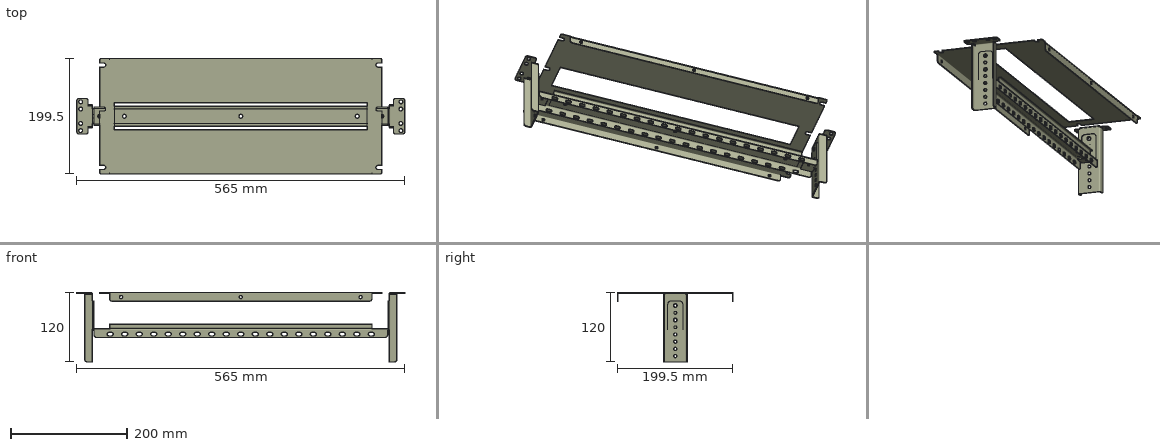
import cadquery as cq


PANEL_LENGTH = 486.0
PANEL_WIDTH = 199.5
PANEL_THICKNESS = 1.4
PANEL_CORNER_RADIUS = 3.0
PANEL_BEND_RADIUS = 2.0
WINDOW_LENGTH = 435.0
WINDOW_WIDTH = 46.5
LIP_LENGTH = 452.0
LIP_HEIGHT = 15.0
LIP_CORNER_RADIUS = 4.5
LIP_HOLE_SPACING = 206.0
LIP_HOLE_DEPTH = 8.0
LIP_HOLE_DIAMETER = 5.0
NOTCH_WIDTH = 7.0
NOTCH_DEPTH = 10.0
NOTCH_POSITIONS = (-88.0, 12.5, 88.0)

BAR_LENGTH = 506.0
BAR_WIDTH = 32.0
BAR_HEIGHT = 16.0
BAR_THICKNESS = 1.0
BAR_BEND_RADIUS = 3.0
BAR_CORNER_RADIUS = 5.5
BAR_TOP = -62.0
BAR_SLOT_COUNT = 19
BAR_SLOT_SPAN = 450.0
BAR_SLOT_LENGTH = 10.0
BAR_SLOT_HEIGHT = 5.5
BAR_SLOT_DEPTH = 9.5

RAIL_LENGTH = 452.0
RAIL_WIDTH = 35.0
RAIL_HAT_WIDTH = 27.0
RAIL_HEIGHT = 8.0
RAIL_THICKNESS = 1.0
RAIL_BEND_RADIUS = 2.0
RAIL_HOLE_SPACING = 200.5
RAIL_HOLE_DIAMETER = 6.0

ANGLE_WIDTH = 26.0
ANGLE_THICKNESS = 2.0
ANGLE_TOP = -14.5
ANGLE_CORNER_RADIUS = 5.5
ANGLE_LEG_LENGTH = 22.5
ANGLE_HOLE_DIAMETER = 7.0
FASTENING_HOLE_DIAMETER = 7.0
LEG_HOLE_DIAMETER = 3.5
FASTENING_HOLE_X = 243.0

BRACKET_END_X = 282.5
BRACKET_HEIGHT = 120.0
BRACKET_WIDTH = 41.0
BRACKET_DEPTH = 13.5
BRACKET_THICKNESS = 1.5
BRACKET_BEND_RADIUS = 3.0
BRACKET_CORNER_RADIUS = 4.5
FOOT_WIDTH = 61.5
FOOT_INNER_X = 263.0
FOOT_CORNER_RADIUS = 4.0
FOOT_HOLE_PITCH = 12.5
FOOT_HOLE_X = 276.0
FOOT_HOLE_DIAMETER = 6.0
SIDE_GAP = 3.0
HOLE_COUNT = 8
HOLE_PITCH = 12.5
FIRST_HOLE_Z = -22.5
HOLE_DIAMETER = 5.0

BAR_END_X = BAR_LENGTH / 2
WEB_INNER_X = BAR_END_X + ANGLE_THICKNESS
BRACKET_OUTER_X = WEB_INNER_X + BRACKET_DEPTH
NECK_WIDTH = BRACKET_WIDTH - 2 * BRACKET_BEND_RADIUS
ANGLE_BOTTOM = BAR_TOP - BAR_THICKNESS - ANGLE_THICKNESS


def box(x_range, y_range, z_range):
    """Axis-aligned block between the given limits."""
    (x0, x1), (y0, y1), (z0, z1) = x_range, y_range, z_range
    return cq.Workplane("XY").box(x1 - x0, y1 - y0, z1 - z0, centered=False).translate((x0, y0, z0))


def centered_on(width):
    """Limits of a span centred on zero."""
    return (-width / 2, width / 2)


def cylinder_y(x, z, diameter, length):
    """Cutter for a round hole along Y, centred on Y = 0."""
    return cq.Workplane("XZ").center(x, z).circle(diameter / 2).extrude(length / 2, both=True)


def bent_channel(length, width, height, thickness, bend_radius, corner_radius):
    """Downward-opening channel along X with its top at Z = 0, rounded bends and rounded lower corners."""
    outer = box(centered_on(length), centered_on(width), (-height, 0))
    outer = outer.edges("|Y and <Z").fillet(corner_radius)
    outer = outer.edges("|X and >Z").fillet(bend_radius)
    inner_width = width - 2 * thickness
    inner = box(centered_on(length), centered_on(inner_width), (-height, -thickness))
    inner = inner.edges("|X and >Z").fillet(bend_radius - thickness)
    return outer.cut(inner)


def make_panel():
    """Flat panel with a long window, open-ended notches and a lip folded down along each long side."""
    plate = box(centered_on(PANEL_LENGTH), centered_on(PANEL_WIDTH), (-PANEL_THICKNESS, 0))
    plate = plate.edges("|Z").fillet(PANEL_CORNER_RADIUS)
    plate = plate.cut(box(centered_on(LIP_LENGTH), centered_on(PANEL_WIDTH), (-PANEL_THICKNESS, 0)))
    folded = bent_channel(
        LIP_LENGTH, PANEL_WIDTH, LIP_HEIGHT, PANEL_THICKNESS, PANEL_BEND_RADIUS, LIP_CORNER_RADIUS
    )
    panel = plate.union(folded)
    panel = panel.cut(
        box(centered_on(WINDOW_LENGTH), centered_on(WINDOW_WIDTH), (-PANEL_THICKNESS, 0))
    )
    for x in (-LIP_HOLE_SPACING, 0, LIP_HOLE_SPACING):
        panel = panel.cut(cylinder_y(x, -LIP_HOLE_DEPTH, LIP_HOLE_DIAMETER, PANEL_WIDTH))
    notches = (
        cq.Workplane("XY")
        .pushPoints([(end * PANEL_LENGTH / 2, y) for end in (-1, 1) for y in NOTCH_POSITIONS])
        .slot2D(2 * NOTCH_DEPTH, NOTCH_WIDTH)
        .extrude(-PANEL_THICKNESS)
    )
    return panel.cut(notches)


def rail_holes(depth):
    """Cutter from Z = 0 to the given depth for the three holes through the rail floor and the cross bar."""
    return (
        cq.Workplane("XY")
        .pushPoints([(x, 0) for x in (-RAIL_HOLE_SPACING, 0, RAIL_HOLE_SPACING)])
        .circle(RAIL_HOLE_DIAMETER / 2)
        .extrude(depth)
    )


def make_cross_bar():
    """Channel with slots through both flanges, rail holes and a fastening hole near each end."""
    bar = bent_channel(
        BAR_LENGTH, BAR_WIDTH, BAR_HEIGHT, BAR_THICKNESS, BAR_BEND_RADIUS, BAR_CORNER_RADIUS
    )
    slots = (
        cq.Workplane("XZ")
        .center(0, -BAR_SLOT_DEPTH)
        .rarray(BAR_SLOT_SPAN / (BAR_SLOT_COUNT - 1), 5.5, BAR_SLOT_COUNT, 1)
        .slot2D(BAR_SLOT_LENGTH, BAR_SLOT_HEIGHT)
        .extrude(BAR_WIDTH, both=True)
    )
    fastening_holes = (
        cq.Workplane("XY")
        .pushPoints([(-FASTENING_HOLE_X, 0), (FASTENING_HOLE_X, 0)])
        .circle(FASTENING_HOLE_DIAMETER / 2)
        .extrude(-BAR_THICKNESS)
    )
    bar = bar.cut(slots).cut(fastening_holes).cut(rail_holes(-BAR_THICKNESS))
    return bar.translate((0, 0, BAR_TOP))


def make_rail():
    """Top-hat rail: a floor, two walls and two outward brims with rounded bends, and three floor holes."""
    outer_radius = RAIL_BEND_RADIUS
    inner_radius = RAIL_BEND_RADIUS - RAIL_THICKNESS
    brim_bottom = RAIL_HEIGHT - RAIL_THICKNESS
    brim_y = RAIL_WIDTH / 2
    wall_outer_y = RAIL_HAT_WIDTH / 2
    wall_inner_y = wall_outer_y - RAIL_THICKNESS
    half_rail = (
        cq.Workplane("YZ")
        .lineTo(wall_outer_y - outer_radius, 0)
        .tangentArcPoint((outer_radius, outer_radius))
        .lineTo(wall_outer_y, brim_bottom - inner_radius)
        .tangentArcPoint((inner_radius, inner_radius))
        .lineTo(brim_y, brim_bottom)
        .lineTo(brim_y, RAIL_HEIGHT)
        .lineTo(wall_inner_y + outer_radius, RAIL_HEIGHT)
        .tangentArcPoint((-outer_radius, -outer_radius))
        .lineTo(wall_inner_y, RAIL_THICKNESS + inner_radius)
        .tangentArcPoint((-inner_radius, -inner_radius))
        .lineTo(0, RAIL_THICKNESS)
        .close()
        .extrude(RAIL_LENGTH / 2, both=True)
    )
    rail = half_rail.union(half_rail.mirror("XZ"))
    return rail.cut(rail_holes(RAIL_THICKNESS)).translate((0, 0, BAR_TOP))


def make_angle():
    """Angle at the +X end: a leg under the cross bar and a tab standing against the bracket web."""
    width = centered_on(ANGLE_WIDTH)
    tab = box((BAR_END_X, WEB_INNER_X), width, (ANGLE_BOTTOM, ANGLE_TOP))
    tab = tab.edges("|X and >Z").fillet(ANGLE_CORNER_RADIUS)
    leg_x = (WEB_INNER_X - ANGLE_LEG_LENGTH, WEB_INNER_X)
    leg = box(leg_x, width, (ANGLE_BOTTOM, ANGLE_BOTTOM + ANGLE_THICKNESS))
    angle = tab.union(leg).edges("|Y and <Z and >X").fillet(ANGLE_THICKNESS)
    tab_holes = (
        cq.Workplane("YZ", origin=(BAR_END_X, 0, 0))
        .pushPoints([(0, FIRST_HOLE_Z), (0, FIRST_HOLE_Z - 2 * HOLE_PITCH)])
        .circle(ANGLE_HOLE_DIAMETER / 2)
        .extrude(ANGLE_THICKNESS)
    )
    leg_hole = (
        cq.Workplane("XY", origin=(FASTENING_HOLE_X, 0, ANGLE_BOTTOM))
        .circle(LEG_HOLE_DIAMETER / 2)
        .extrude(ANGLE_THICKNESS)
    )
    return angle.cut(tab_holes).cut(leg_hole)


def make_bracket():
    """Bracket at the +X end: web with two outward flanges, and a foot folded outward at the top."""
    inner_radius = BRACKET_BEND_RADIUS - BRACKET_THICKNESS
    hollow_x = (WEB_INNER_X + BRACKET_THICKNESS, BRACKET_END_X)

    channel_z = (-BRACKET_HEIGHT, -SIDE_GAP)
    channel = box((WEB_INNER_X, BRACKET_OUTER_X), centered_on(BRACKET_WIDTH), channel_z)
    channel = channel.edges("|Z and <X").fillet(BRACKET_BEND_RADIUS)
    channel = channel.edges("|Y and <Z and >X").fillet(BRACKET_CORNER_RADIUS)
    hollow = box(hollow_x, centered_on(BRACKET_WIDTH - 2 * BRACKET_THICKNESS), channel_z)
    channel = channel.cut(hollow.edges("|Z and <X").fillet(inner_radius))

    neck_z = (-2 * BRACKET_BEND_RADIUS, 0)
    neck = box((WEB_INNER_X, FOOT_INNER_X), centered_on(NECK_WIDTH), neck_z)
    neck = neck.edges("|Y and >Z and <X").fillet(BRACKET_BEND_RADIUS)
    under_neck = box(hollow_x, centered_on(NECK_WIDTH), (neck_z[0], -BRACKET_THICKNESS))
    neck = neck.cut(under_neck.edges("|Y and >Z and <X").fillet(inner_radius))

    foot = box((FOOT_INNER_X, BRACKET_END_X), centered_on(FOOT_WIDTH), (-BRACKET_THICKNESS, 0))
    foot = foot.edges("|Z").fillet(FOOT_CORNER_RADIUS)
    foot_holes = (
        cq.Workplane("XY")
        .pushPoints([(FOOT_HOLE_X, step * FOOT_HOLE_PITCH) for step in (-2, -1, 1, 2)])
        .circle(FOOT_HOLE_DIAMETER / 2)
        .extrude(-BRACKET_THICKNESS)
    )

    web_holes = (
        cq.Workplane("YZ", origin=(WEB_INNER_X, 0, 0))
        .pushPoints([(0, FIRST_HOLE_Z - i * HOLE_PITCH) for i in range(HOLE_COUNT)])
        .circle(HOLE_DIAMETER / 2)
        .extrude(BRACKET_THICKNESS)
    )
    return channel.union(neck).union(foot).cut(foot_holes).cut(web_holes)


def both_ends(part):
    """Solids of a +X end part and of its mirror image at the -X end."""
    return [part.val(), part.mirror("YZ").val()]


panel = make_panel()
cross_bar = make_cross_bar()
rail = make_rail()
angles = both_ends(make_angle())
brackets = both_ends(make_bracket())

result = cq.Compound.makeCompound([panel.val(), cross_bar.val(), rail.val(), *angles, *brackets])